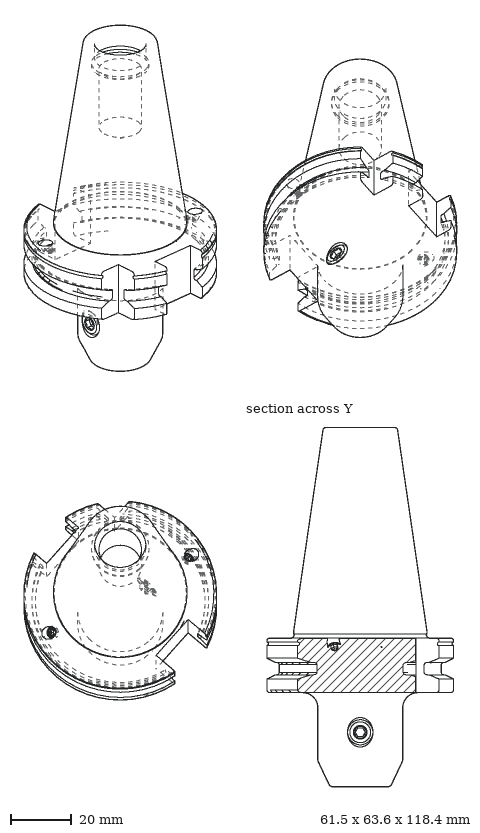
import cadquery as cq
import math

total_height = 118.4
cut_clearance = 1.2

nose_radius = 28.1 / 2
nose_tip_radius = 10.0
nose_cone_height = 8.6
nose_tip_round = 1.7
nose_shoulder_round = 2.4
nose_flare = 5.0

flange_radius = 63.6 / 2
flange_bottom = 31.0
flange_top = 49.0
flange_round = 1.0

groove_mid = 39.0
groove_floor_radius = 28.0
groove_ledge_radius = 29.1
groove_half_mouth = 3.4
groove_half_ledge = 2.0
groove_corner_round = 0.7

ring_groove_z = 47.1
ring_groove_half_width = 0.6
ring_groove_depth = 0.5

slot_width = 16.1
slot_floor_left = 22.6
slot_floor_right = 25.1
notch_offset = 18.4

taper_base_radius = 22.0
taper_base_z = 51.1
taper_slope = 7 / 48
neck_radius = 21.8
neck_round = 1.2
land_bottom = 50.4
taper_end_round = 1.0

bore_radius = 16.9 / 2
thread_radius = 7.0
bore_mouth_round = 1.0
relief_radius = 9.5
flare_top_depth = 6.2
flare_bottom_depth = 7.9
relief_bottom_depth = 9.0
thread_top_depth = 10.1
thread_depth = 32.0
drill_point_angle = 118.0

clamp_z = 18.0
clamp_screw_radius = 4.1
clamp_bevel = 0.7
clamp_socket_flats = 3.8
clamp_socket_depth = 1.9

coolant_circle_radius = 27.0
coolant_angle = 70.3
coolant_tilt = 30.0
coolant_screw_radius = 4.1 / 2
coolant_screw_depth = 2.6
coolant_bevel = 0.4
coolant_socket_flats = 2.0
coolant_socket_depth = 1.4

socket_lead_in = 0.4
socket_floor_taper = 0.5


def revolve_z(profile):
    """Turn a closed (radius, z) profile drawn on the XZ plane about Z."""
    return profile.close().revolve(360, (0, 0, 0), (0, 1, 0))


def make_screw_end(plane, radius, bevel):
    """Bevelled screw end whose flat face lies on the plane."""
    base = cq.Workplane(plane).workplane(offset=-bevel)
    return base.circle(radius).extrude(bevel, taper=45)


def make_hex_socket(plane, flats, depth):
    """Hex socket sunk from the plane, with a conical lead-in and a tapered floor."""
    face = cq.Workplane(plane)
    corner_diameter = flats / math.cos(math.radians(30))
    straight = face.polygon(6, corner_diameter).extrude(-depth)
    lead_in = face.circle(flats / 2 + socket_lead_in).extrude(-socket_lead_in, taper=45)
    floor_start = face.workplane(offset=-depth)
    floor = floor_start.polygon(6, corner_diameter).extrude(-socket_floor_taper, taper=45)
    return straight.union(lead_in).union(floor)


def make_nose():
    flare_start = flange_bottom - nose_flare
    profile = (
        cq.Workplane("XZ")
        .lineTo(nose_tip_radius, 0)
        .lineTo(nose_radius, nose_cone_height)
        .lineTo(nose_radius, flare_start)
        .radiusArc((nose_radius + nose_flare, flange_bottom), nose_flare)
        .lineTo(nose_radius + nose_flare, groove_mid)
        .lineTo(0, groove_mid)
    )
    nose = revolve_z(profile)
    nose = nose.faces("<Z").edges().fillet(nose_tip_round)
    shoulder = cq.selectors.NearestToPointSelector((0, 0, nose_cone_height))
    return nose.edges(shoulder).fillet(nose_shoulder_round)


def make_gripper_groove():
    outside = flange_radius + cut_clearance
    corner_radius = groove_floor_radius + groove_corner_round
    half_floor = groove_half_ledge - groove_corner_round
    profile = (
        cq.Workplane("XZ")
        .moveTo(outside, groove_mid + groove_half_mouth)
        .lineTo(flange_radius, groove_mid + groove_half_mouth)
        .lineTo(groove_ledge_radius, groove_mid + groove_half_ledge)
        .lineTo(corner_radius, groove_mid + groove_half_ledge)
        .radiusArc((groove_floor_radius, groove_mid + half_floor), -groove_corner_round)
        .lineTo(groove_floor_radius, groove_mid - half_floor)
        .radiusArc((corner_radius, groove_mid - groove_half_ledge), -groove_corner_round)
        .lineTo(groove_ledge_radius, groove_mid - groove_half_ledge)
        .lineTo(flange_radius, groove_mid - groove_half_mouth)
        .lineTo(outside, groove_mid - groove_half_mouth)
    )
    return revolve_z(profile)


def make_ring_groove():
    profile = (
        cq.Workplane("XZ")
        .moveTo(flange_radius, ring_groove_z + ring_groove_half_width)
        .threePointArc(
            (flange_radius - ring_groove_depth, ring_groove_z),
            (flange_radius, ring_groove_z - ring_groove_half_width),
        )
        .lineTo(flange_radius + cut_clearance, ring_groove_z - ring_groove_half_width)
        .lineTo(flange_radius + cut_clearance, ring_groove_z + ring_groove_half_width)
    )
    return revolve_z(profile)


def make_flange():
    height = flange_top - flange_bottom
    flange = cq.Workplane("XY", origin=(0, 0, flange_bottom)).circle(flange_radius).extrude(height)
    flange = flange.faces("<Z or >Z").edges().fillet(flange_round)
    return flange.cut(make_gripper_groove()).cut(make_ring_groove())


def make_taper():
    end_radius = taper_base_radius - taper_slope * (total_height - taper_base_z)
    profile = (
        cq.Workplane("XZ")
        .moveTo(0, groove_mid)
        .lineTo(neck_radius + neck_round, groove_mid)
        .lineTo(neck_radius + neck_round, flange_top)
        .radiusArc((neck_radius, flange_top + neck_round), neck_round)
        .lineTo(neck_radius, land_bottom)
        .lineTo(taper_base_radius, land_bottom)
        .lineTo(taper_base_radius, taper_base_z)
        .lineTo(end_radius, total_height)
        .lineTo(0, total_height)
    )
    return revolve_z(profile).faces(">Z").edges().fillet(taper_end_round)


def make_end_hole():
    mouth_radius = bore_radius + bore_mouth_round
    thread_bottom = total_height - thread_depth
    point_height = thread_radius / math.tan(math.radians(drill_point_angle / 2))
    profile = (
        cq.Workplane("XZ")
        .moveTo(0, total_height)
        .lineTo(mouth_radius, total_height)
        .radiusArc((bore_radius, total_height - bore_mouth_round), -bore_mouth_round)
        .lineTo(bore_radius, total_height - flare_top_depth)
        .lineTo(relief_radius, total_height - flare_bottom_depth)
        .lineTo(relief_radius, total_height - relief_bottom_depth)
        .lineTo(thread_radius, total_height - thread_top_depth)
        .lineTo(thread_radius, thread_bottom)
        .lineTo(0, thread_bottom - point_height)
    )
    return revolve_z(profile)


def make_flange_cutouts():
    """Two drive slots and the corner notch, through the flange and the neck fillet on it."""
    reach = 2 * flange_radius
    height = flange_top + neck_round - flange_bottom
    blank = cq.Workplane("XY", origin=(0, 0, flange_bottom))
    not_in_x = (False, True, False)
    right_slot = blank.center(slot_floor_right, 0).box(reach, slot_width, height, centered=not_in_x)
    left_slot = blank.center(-slot_floor_left - reach, 0).box(reach, slot_width, height, centered=not_in_x)
    notch = blank.center(notch_offset, -notch_offset - reach).box(reach, reach, height, centered=False)
    return right_slot.union(left_slot).union(notch)


def add_clamp_screw(body):
    face = cq.Plane(origin=(0, -nose_radius, clamp_z), xDir=(1, 0, 0), normal=(0, -1, 0))
    mouth_radius = clamp_screw_radius + clamp_bevel
    countersink = cq.Workplane(face).circle(mouth_radius).extrude(-clamp_bevel, taper=45)
    screw_end = make_screw_end(face, clamp_screw_radius, clamp_bevel)
    socket = make_hex_socket(face, clamp_socket_flats, clamp_socket_depth)
    return body.cut(countersink).union(screw_end).cut(socket)


def add_coolant_screw(body, angle):
    """Screw in a hole of the flange face that leans towards the axis as it goes down."""
    direction = math.radians(angle)
    tilt = math.radians(coolant_tilt)
    outward = cq.Vector(math.cos(direction), math.sin(direction), 0)
    tangent = cq.Vector(-math.sin(direction), math.cos(direction), 0)
    axis = outward * math.sin(tilt) + cq.Vector(0, 0, math.cos(tilt))
    mouth = outward * coolant_circle_radius + cq.Vector(0, 0, flange_top)
    face = cq.Plane(origin=mouth - axis * coolant_screw_depth, xDir=tangent, normal=axis)
    hole_bottom = cq.Workplane(face).workplane(offset=-coolant_bevel)
    hole = hole_bottom.circle(coolant_screw_radius).extrude(2 * coolant_screw_depth)
    screw_end = make_screw_end(face, coolant_screw_radius, coolant_bevel)
    socket = make_hex_socket(face, coolant_socket_flats, coolant_socket_depth)
    return body.cut(hole).union(screw_end).cut(socket)


result = make_flange().union(make_nose()).union(make_taper())
result = result.cut(make_flange_cutouts())
result = result.cut(make_end_hole())
result = add_clamp_screw(result)
for angle in (coolant_angle, coolant_angle + 180):
    result = add_coolant_screw(result, angle)